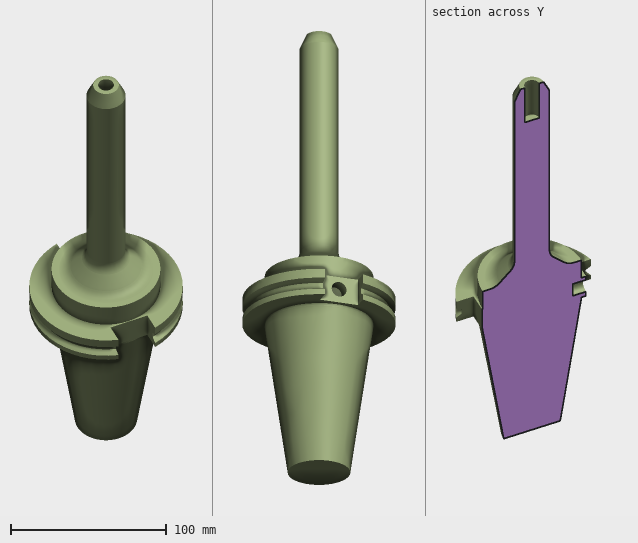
import cadquery as cq
import math

total_height = 304.8

taper_length = 101.5
gauge_radius = 69.8 / 2
taper_ratio = 7 / 24
taper_end_radius = gauge_radius - taper_length * taper_ratio / 2

flange_radius = 98.5 / 2
flange_bottom = 103.3
flange_top = 121.0
groove_center = 111.0
groove_depth = 3.7
groove_floor_width = 3.7
groove_side_angle = math.radians(30)
groove_mouth_width = groove_floor_width + 2 * groove_depth * math.tan(groove_side_angle)

slot_width = 26.0
left_slot_floor = 38.0
right_slot_floor = 35.5
slot_hole_diameter = 10.0
slot_hole_depth = 9.0
slot_hole_height = 112.5

boss_radius = 69.8 / 2
boss_top = 136.5
stem_radius = 25.0 / 2
flare_radius = 10.0
flare_cone_top = 147.0
flare_angle = math.radians(45)

tip_radius = 8.2
tip_length = 9.5
bore_diameter = 10.0
bore_depth = 30.5


def make_body():
    """Revolve the half profile, given as (radius, height), about Z."""
    arc_long = flare_radius * math.sin(flare_angle)
    arc_short = flare_radius * (1 - math.cos(flare_angle))
    mid_long = flare_radius * math.sin(flare_angle / 2)
    mid_short = flare_radius * (1 - math.cos(flare_angle / 2))

    cone_top_radius = stem_radius + arc_short
    cone_bottom = boss_top + arc_short
    cone_bottom_radius = cone_top_radius + (flare_cone_top - cone_bottom) / math.tan(flare_angle)
    flare_base_radius = cone_bottom_radius + arc_long
    stem_bottom = flare_cone_top + arc_long

    profile = (
        cq.Workplane("XZ")
        .lineTo(taper_end_radius, 0)
        .lineTo(gauge_radius, taper_length)
        .lineTo(gauge_radius, flange_bottom)
        .lineTo(flange_radius, flange_bottom)
        .lineTo(flange_radius, groove_center - groove_mouth_width / 2)
        .lineTo(flange_radius - groove_depth, groove_center - groove_floor_width / 2)
        .lineTo(flange_radius - groove_depth, groove_center + groove_floor_width / 2)
        .lineTo(flange_radius, groove_center + groove_mouth_width / 2)
        .lineTo(flange_radius, flange_top)
        .lineTo(boss_radius, flange_top)
        .lineTo(boss_radius, boss_top)
        .lineTo(flare_base_radius, boss_top)
        .threePointArc(
            (flare_base_radius - mid_long, boss_top + mid_short),
            (cone_bottom_radius, cone_bottom),
        )
        .lineTo(cone_top_radius, flare_cone_top)
        .threePointArc(
            (stem_radius + mid_short, stem_bottom - mid_long),
            (stem_radius, stem_bottom),
        )
        .lineTo(stem_radius, total_height - tip_length)
        .lineTo(tip_radius, total_height)
        .lineTo(0, total_height)
        .close()
    )
    return profile.revolve(360, (0, 0, 0), (0, 1, 0))


def make_slot(side, floor_distance):
    """Cutter for a drive slot; side is -1 for -X and +1 for +X."""
    return (
        cq.Workplane("XY", origin=(side * (floor_distance + flange_radius / 2), 0, flange_bottom))
        .rect(flange_radius, slot_width)
        .extrude(flange_top - flange_bottom)
    )


def make_slot_hole():
    """Cutter for the blind radial hole in the floor of the -X slot."""
    return (
        cq.Workplane("YZ", origin=(-left_slot_floor, 0, slot_hole_height))
        .circle(slot_hole_diameter / 2)
        .extrude(slot_hole_depth)
    )


def make_bore():
    """Cutter for the blind bore in the tip of the stem."""
    return (
        cq.Workplane("XY", origin=(0, 0, total_height))
        .circle(bore_diameter / 2)
        .extrude(-bore_depth)
    )


result = (
    make_body()
    .cut(make_slot(-1, left_slot_floor))
    .cut(make_slot(1, right_slot_floor))
    .cut(make_slot_hole())
    .cut(make_bore())
)